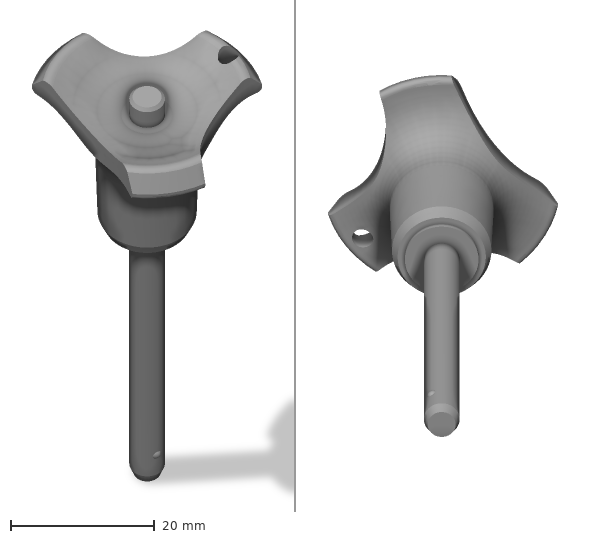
import cadquery as cq
import math

total_height = 77.7

pin_radius = 2.5
tip_radius = 1.95
tip_height = 1.6
ball_radius = 0.8
ball_height = 5.6
ball_protrusion = 0.3

collar_radius = 5.1
collar_bottom = 50.9
barrel_bottom = 51.7
barrel_bottom_radius = 6.1
barrel_chamfer_top = 53.6
barrel_lower_radius = 6.9
barrel_top = 65.7
barrel_top_radius = 7.2

flare_radius = 8.0
head_radius = 16.55
rim_bottom = barrel_top + flare_radius
rim_top = 75.05
rim_round = 0.85
crest_outer_radius = 14.8
crest_inner_radius = 13.2
crest_drop = 0.2
dish_curve_radius = 22.5
dish_floor_radius = 3.6

lobe_half_width = 5.5
front_corner_x = 12.4
side_corner_angle = -5.0
side_scallop_depth = 3.7
front_scallop_depth = 1.6

button_radius = 2.5
button_top = 77.15
button_chamfer = 0.5
lanyard_hole_radius = 1.5
lanyard_hole_y = 13.7


def make_pin():
    pin = cq.Workplane("XY").workplane(offset=tip_height).circle(pin_radius).extrude(collar_bottom)
    tip = (
        cq.Workplane("XZ")
        .polyline([(0, 0), (tip_radius, 0), (pin_radius, tip_height), (0, tip_height)])
        .close()
        .revolve(360, (0, 0), (0, 1))
    )
    pin = pin.union(tip)
    ball_x = pin_radius + ball_protrusion - ball_radius
    for side in (-1, 1):
        pin = pin.union(cq.Workplane("XY").sphere(ball_radius).translate((side * ball_x, 0, ball_height)))
    return pin


def make_handle_blank():
    """Revolve the barrel, the flare and the dished head."""
    flare_centre_r = barrel_top_radius + flare_radius
    diagonal = flare_radius * math.sqrt(0.5)
    crest_edge = total_height - crest_drop
    dish_centre_z = crest_edge + math.sqrt(dish_curve_radius**2 - crest_inner_radius**2)

    def dish_height(r):
        return dish_centre_z - math.sqrt(dish_curve_radius**2 - r**2)

    dish_mid_r = (crest_inner_radius + dish_floor_radius) / 2
    crest_mid_r = (crest_inner_radius + crest_outer_radius) / 2
    profile = (
        cq.Workplane("XZ")
        .moveTo(0, collar_bottom)
        .lineTo(collar_radius, collar_bottom)
        .lineTo(collar_radius, barrel_bottom)
        .lineTo(barrel_bottom_radius, barrel_bottom)
        .lineTo(barrel_lower_radius, barrel_chamfer_top)
        .lineTo(barrel_top_radius, barrel_top)
        .threePointArc(
            (flare_centre_r - diagonal, barrel_top + diagonal),
            (flare_centre_r, rim_bottom),
        )
        .lineTo(head_radius - rim_round, rim_bottom)
        .radiusArc((head_radius, rim_bottom + rim_round), -rim_round)
        .lineTo(head_radius, rim_top)
        .lineTo(crest_outer_radius, crest_edge)
        .threePointArc((crest_mid_r, total_height), (crest_inner_radius, crest_edge))
        .threePointArc(
            (dish_mid_r, dish_height(dish_mid_r)),
            (dish_floor_radius, dish_height(dish_floor_radius)),
        )
        .lineTo(0, dish_height(dish_floor_radius))
        .close()
    )
    return profile.revolve(360, (0, 0), (0, 1))


def make_scallop(start, end, depth):
    """Cylinder whose arc joins two head corners and dips inward by depth."""
    mid_x = (start[0] + end[0]) / 2
    mid_y = (start[1] + end[1]) / 2
    chord = math.hypot(end[0] - start[0], end[1] - start[1])
    radius = chord**2 / (8 * depth) + depth / 2
    mid_distance = math.hypot(mid_x, mid_y)
    outward = 1 + (radius - depth) / mid_distance
    return (
        cq.Workplane("XY")
        .workplane(offset=barrel_top)
        .center(mid_x * outward, mid_y * outward)
        .circle(radius)
        .extrude(total_height - barrel_top)
    )


def cut_scallops(body):
    back_corner_y = math.sqrt(head_radius**2 - lobe_half_width**2)
    front_corner_y = -math.sqrt(head_radius**2 - front_corner_x**2)
    side_angle = math.radians(side_corner_angle)
    side_corner_x = head_radius * math.cos(side_angle)
    side_corner_y = head_radius * math.sin(side_angle)
    for side in (-1, 1):
        back_corner = (side * lobe_half_width, back_corner_y)
        side_corner = (side * side_corner_x, side_corner_y)
        body = body.cut(make_scallop(back_corner, side_corner, side_scallop_depth))
    left_corner = (-front_corner_x, front_corner_y)
    right_corner = (front_corner_x, front_corner_y)
    return body.cut(make_scallop(left_corner, right_corner, front_scallop_depth))


def make_button():
    return (
        cq.Workplane("XY")
        .workplane(offset=barrel_top)
        .circle(button_radius)
        .extrude(button_top - barrel_top)
        .faces(">Z")
        .chamfer(button_chamfer)
    )


def make_lanyard_hole():
    return (
        cq.Workplane("XY")
        .workplane(offset=barrel_top)
        .center(0, lanyard_hole_y)
        .circle(lanyard_hole_radius)
        .extrude(total_height - barrel_top)
    )


handle = cut_scallops(make_handle_blank()).cut(make_lanyard_hole())
result = handle.union(make_pin()).union(make_button())